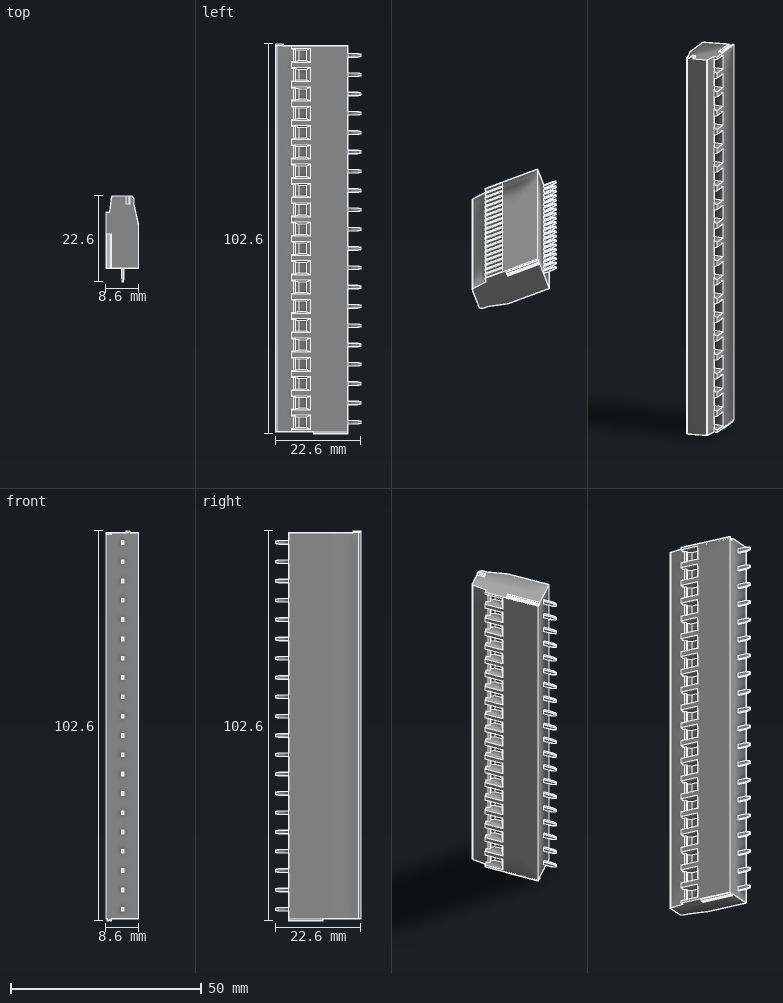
import cadquery as cq


pole_count = 20
pitch = 5.08
housing_height = pole_count * pitch
housing_width = 8.6
housing_depth = 19.1

ledge_depth = 4.25
ledge_width = 0.95
crest_left = 1.65
crest_chamfer_width = 0.2
crest_chamfer_depth = 0.4

crest_right = 6.9
shoulder_x = 7.4
shoulder_depth = 0.7
slope_start_depth = 2.2
slope_end_depth = 7.5

entry_height = 3.7
entry_end_depth = 9.25
entry_lip_depth = 4.8
entry_step_depth = 5.3
entry_lip_x = 1.15
entry_step_x = 1.7
entry_ramp_depth = 6.3
entry_floor_x = 2.1
entry_floor_end_depth = 8.2
clamp_height = 2.75

pin_center_x = 4.45
pin_width = 0.6
pin_height = 1.0
pin_length = 3.5
pin_taper_length = 0.95
pin_tip_scale = 0.6

rail_left = 0.35
rail_right = 1.45
rail_start_depth = 10.1
rail_height = 0.5
rail_slit_left = 0.85
rail_slit_right = 1.15
rail_slit_height = 0.25

bump_left = 5.35
bump_right = 6.4
bump_depth = 2.1
bump_height = 0.5
bump_chamfer = 0.3

crest_y = housing_depth


def at_depth(x, depth):
    """Point in the XY section, given its distance below the crest."""
    return (x, crest_y - depth)


def box(x_min, x_max, y_min, y_max, z_min, height):
    """Axis-aligned box standing on z_min."""
    return (
        cq.Workplane("XY", origin=(x_min, y_min, z_min))
        .rect(x_max - x_min, y_max - y_min, centered=False)
        .extrude(height)
    )


def make_housing():
    outline = [
        (0, 0),
        at_depth(0, ledge_depth),
        at_depth(ledge_width, ledge_depth),
        at_depth(crest_left - crest_chamfer_width, crest_chamfer_depth),
        at_depth(crest_left, 0),
        at_depth(crest_right, 0),
        at_depth(shoulder_x, shoulder_depth),
        at_depth(shoulder_x, slope_start_depth),
        at_depth(housing_width, slope_end_depth),
        (housing_width, 0),
    ]
    return cq.Workplane("XY").polyline(outline).close().extrude(housing_height)


def make_entry(z_center):
    """Stepped opening that cuts through the ledge and narrows in height towards its floor."""
    profile = [
        at_depth(0, ledge_depth),
        at_depth(ledge_width, ledge_depth),
        at_depth(ledge_width, entry_lip_depth),
        at_depth(entry_lip_x, entry_step_depth),
        at_depth(entry_step_x, entry_step_depth),
        at_depth(entry_floor_x, entry_ramp_depth),
        at_depth(entry_floor_x, entry_floor_end_depth),
        at_depth(0, entry_end_depth),
    ]
    prism = (
        cq.Workplane("XY", origin=(0, 0, z_center - entry_height / 2))
        .polyline(profile)
        .close()
        .extrude(entry_height)
    )
    height_limits = [
        (0, z_center - entry_height / 2),
        (entry_floor_x, z_center - clamp_height / 2),
        (entry_floor_x, z_center + clamp_height / 2),
        (0, z_center + entry_height / 2),
    ]
    wedge = cq.Workplane("XZ").polyline(height_limits).close().extrude(-housing_depth)
    return prism.intersect(wedge)


def make_pin(z_center):
    """Rectangular pin with a tapered tip, standing out of the Y = 0 face."""
    shank_length = pin_length - pin_taper_length
    shank = (
        cq.Workplane("XZ", origin=(pin_center_x, 0, z_center))
        .rect(pin_width, pin_height)
        .extrude(shank_length)
    )
    tip = (
        cq.Workplane("XZ", origin=(pin_center_x, -shank_length, z_center))
        .rect(pin_width, pin_height)
        .workplane(offset=pin_taper_length)
        .rect(pin_width * pin_tip_scale, pin_height * pin_tip_scale)
        .loft(ruled=True)
    )
    return shank.union(tip)


def make_rail(z_min):
    """Rail with a shallow slit along its underside; also the tool for the groove."""
    rail_length = crest_y - rail_start_depth
    rail = box(rail_left, rail_right, 0, rail_length, z_min, rail_height)
    slit = box(rail_slit_left, rail_slit_right, 0, rail_length, z_min, rail_slit_height)
    return rail.cut(slit)


def make_latch_bump():
    bump = box(bump_left, bump_right, crest_y - bump_depth, crest_y, housing_height, bump_height)
    return bump.edges(">X and >Z").chamfer(bump_chamfer)


result = make_housing()
for pole in range(pole_count):
    pole_z = (pole + 0.5) * pitch
    result = result.cut(make_entry(pole_z)).union(make_pin(pole_z))

result = result.cut(make_rail(housing_height - rail_height))
result = result.union(make_rail(-rail_height))
result = result.union(make_latch_bump())